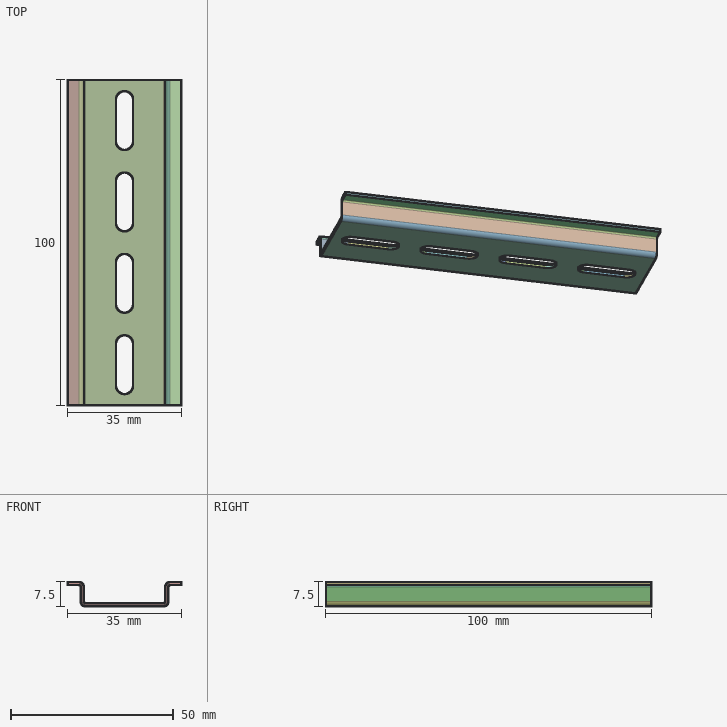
import cadquery as cq

rail_width = 35.0
rail_length = 100.0
rail_height = 7.5
sheet_thickness = 1.0
channel_width = 27.0
inner_bend_radius = 0.5
outer_bend_radius = inner_bend_radius + sheet_thickness

slot_length = 18.0
slot_width = 5.2
slot_pitch = 25.0
slot_count = 4


def make_rail():
    """Extrude the hat section and round its bends."""
    half_width = rail_width / 2
    half_channel = channel_width / 2
    half_inside = half_channel - sheet_thickness
    half_height = rail_height / 2
    flange_underside = half_height - sheet_thickness
    floor_top = -half_height + sheet_thickness

    right_half = [
        (half_channel, -half_height),
        (half_channel, flange_underside),
        (half_width, flange_underside),
        (half_width, half_height),
        (half_inside, half_height),
        (half_inside, floor_top),
    ]
    left_half = [(-x, z) for x, z in reversed(right_half)]
    rail = (
        cq.Workplane("XZ")
        .polyline(right_half + left_half)
        .close()
        .extrude(rail_length / 2, both=True)
    )

    inner_corners = [(half_channel, flange_underside), (half_inside, floor_top)]
    outer_corners = [(half_inside, half_height), (half_channel, -half_height)]
    rail = round_corners(rail, inner_corners, inner_bend_radius)
    return round_corners(rail, outer_corners, outer_bend_radius)


def round_corners(body, corners, radius):
    """Fillet the lengthwise edges at the given XZ corners on both sides."""
    for x, z in corners:
        for side in (-1, 1):
            nearest_edge = cq.selectors.NearestToPointSelector((side * x, 0, z))
            body = body.edges("|Y").edges(nearest_edge).fillet(radius)
    return body


def make_slots():
    """Round-ended cutters spaced evenly about the middle of the rail."""
    return (
        cq.Workplane("XY")
        .rarray(1, slot_pitch, 1, slot_count)
        .slot2D(slot_length, slot_width, 90)
        .extrude(rail_height, both=True)
    )


result = make_rail().cut(make_slots())